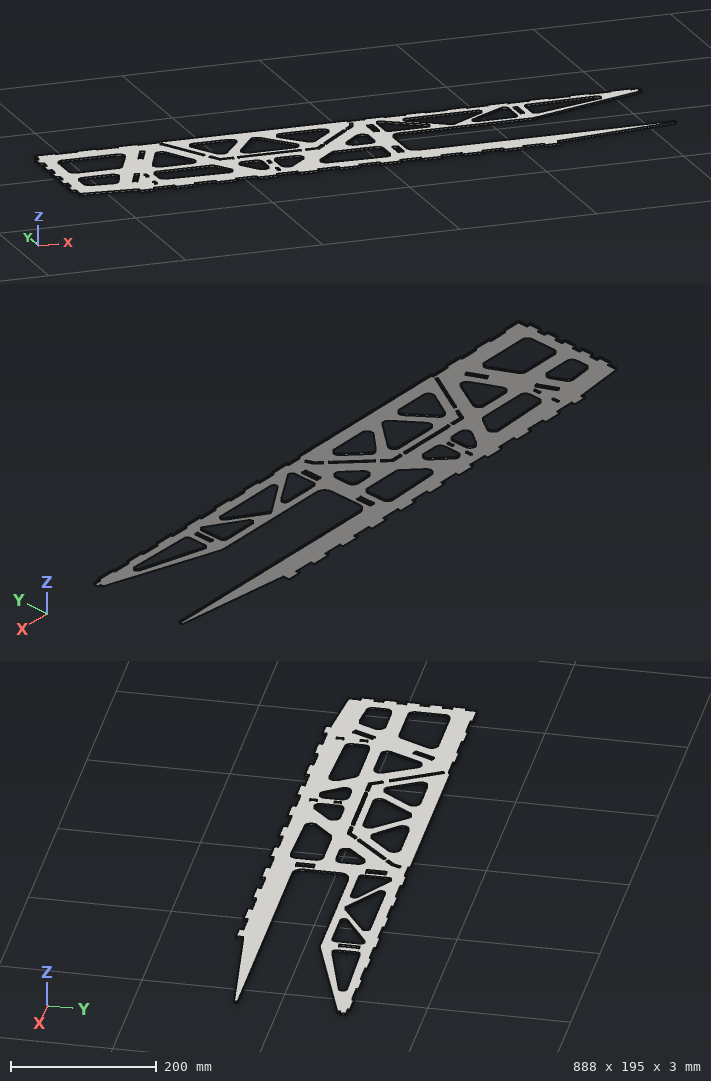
import cadquery as cq
import math

length = 888.0
width = 195.0
thickness = 3.0

tab_depth = 2 * thickness
notch_depth = thickness
first_notch_start = 36.0
tip_notch_start = 876.0
full_notch_indices = (0, 1, 2, 8, 9, 10, 11, 12, 13)
short_notch_index = 7
short_notch_start = 462.0
tip_notch_index = 14
finger_pitch = (tip_notch_start - first_notch_start) / tip_notch_index
finger_width = finger_pitch / 2
bottom_tab_start = 140.0
bottom_tab_count = 10
first_tab_start = 89.0
last_tab_end = 701.5
left_tab_width = 19.5
left_tab_pitch = 32.0
left_tab_first_center = 42.0
left_tab_count = 5

fork_left = 496.0
fork_bottom = 40.0
fork_top = 118.0
fork_radius = 14.0
prong_end = 884.0
upper_taper_start = 706.0
upper_taper_end = 179.0
tip_bottom = 184.0
lower_taper_start = 11.0
lower_taper_end = 35.0

left_corner_height = 15.0
slope_end_height = 7.0

window_radius = 9.0
small_window_radius = 5.0
window_left = 26.0
window_right = 466.0
upper_row_top = 171.0
middle_row_bottom = 91.0
lower_row_top = 72.0
truss_center = 592.0
truss_bottom = 131.0

main_windows = [
    [(window_left, 105.0), (99.5, 105.0), (127.0, 162.5), (window_left, 162.5)],
    [(window_left, 47.0), (71.0, 43.0), (89.0, 81.0), (window_left, 81.0)],
    [(138.5, middle_row_bottom), (211.0, middle_row_bottom), (171.0, 162.5)],
    [(214.0, upper_row_top), (250.0, 108.0), (297.0, upper_row_top)],
    [(270.0, 107.5), (372.0, 107.5), (316.0, 172.0)],
    [(336.0, upper_row_top), (384.5, 121.0), (435.0, upper_row_top)],
    [(414.0, middle_row_bottom), (window_right, middle_row_bottom), (window_right, 143.0)],
    [(132.0, 38.0), (247.0, 34.0), (221.0, lower_row_top), (132.0, lower_row_top)],
    [(249.0, lower_row_top), (290.0, 12.0), (290.0, lower_row_top)],
    [(308.0, 19.0), (362.0, lower_row_top), (308.0, lower_row_top)],
    [(353.0, 30.0), (window_right, 27.0), (window_right, lower_row_top), (396.0, lower_row_top)],
]


def mirror_truss(points):
    """Mirror points about the center of the upper prong's truss."""
    return [(2 * truss_center - x, y) for x, y in points]


truss_side_window = [(496.0, truss_bottom), (574.0, truss_bottom), (496.0, 181.0)]
prong_windows = [
    truss_side_window,
    mirror_truss(truss_side_window),
    [(523.0, 176.0), (truss_center, 130.0), (662.0, 176.0)],
    [(713.0, 137.0), (713.0, 177.0), (859.0, 180.0)],
]

upright = 90
slant = 65.6
slots = [
    (484.0, 152.0, 27.5, 8.0, upright),
    (484.0, 52.0, 25.0, 8.0, upright),
    (699.0, 158.0, 28.0, 5.0, upright),
    (145.0, 149.0, 31.0, 6.0, slant),
    (103.0, 57.0, 33.0, 6.0, slant),
]
pin_slot_length = 10.0
pin_slot_width = thickness
pin_slot_columns = (120.0, 299.0)
pin_slot_rows = (27.0, 60.0)

channel_width = 3.5
channel_floor = 93.0
channel_paths = [
    [(186.5, 186.0), (225.0, 118.0)],
    [(230.0, 109.0), (239.0, channel_floor), (258.0, channel_floor)],
    [(265.5, channel_floor), (357.0, channel_floor)],
    [(365.0, channel_floor), (383.0, channel_floor), (393.0, 105.0)],
    [(399.0, 110.0), (444.0, 155.0)],
    [(449.0, 161.0), (458.0, 170.0), (463.0, 181.0)],
]


def prism(points):
    """Extrude a closed polygon through the sheet thickness."""
    return cq.Workplane("XY").polyline(points).close().extrude(thickness)


def box(x_min, x_max, y_min, y_max):
    """Rectangle through the sheet thickness."""
    return prism([(x_min, y_min), (x_max, y_min), (x_max, y_max), (x_min, y_max)])


def rounded_window(points, radius):
    return prism(points).edges("|Z").fillet(radius)


def slot(x, y, slot_length, slot_width, angle):
    cutter = cq.Workplane("XY").rect(slot_length, slot_width).extrude(thickness)
    return cutter.rotate((0, 0, 0), (0, 0, 1), angle).translate((x, y, 0))


def channel(path):
    """Square-ended channel of constant width along straight segments."""
    cutter = cq.Workplane("XY")
    for (x0, y0), (x1, y1) in zip(path[:-1], path[1:]):
        run = math.hypot(x1 - x0, y1 - y0)
        angle = math.degrees(math.atan2(y1 - y0, x1 - x0))
        piece = slot((x0 + x1) / 2, (y0 + y1) / 2, run, channel_width, angle)
        cutter = cutter.add(piece)
    for x, y in path[1:-1]:
        joint = cq.Workplane("XY").center(x, y).circle(channel_width / 2).extrude(thickness)
        cutter = cutter.add(joint)
    return cutter.combine()


plate = prism([
    (tab_depth, left_corner_height),
    (first_tab_start, slope_end_height),
    (first_tab_start, tab_depth),
    (last_tab_end, tab_depth),
    (last_tab_end, lower_taper_start),
    (prong_end, lower_taper_end),
    (prong_end, fork_bottom),
    (fork_left, fork_bottom),
    (fork_left, fork_top),
    (upper_taper_start, fork_top),
    (prong_end, upper_taper_end),
    (prong_end, tip_bottom),
    (length, tip_bottom),
    (length, width - notch_depth),
    (tip_notch_start, width - notch_depth),
    (tip_notch_start, width),
    (tab_depth, width),
])
fork_corners = cq.selectors.BoxSelector(
    (fork_left - fork_radius, fork_bottom - fork_radius, -thickness),
    (fork_left + fork_radius, fork_top + fork_radius, 2 * thickness),
)
plate = plate.edges("|Z").edges(fork_corners).fillet(fork_radius)

for i in range(left_tab_count):
    center = left_tab_first_center + i * left_tab_pitch
    tab = box(0, tab_depth, center - left_tab_width / 2, center + left_tab_width / 2)
    plate = plate.union(tab)

tab_spans = [(first_tab_start, bottom_tab_start - finger_width)]
for i in range(bottom_tab_count):
    start = bottom_tab_start + i * finger_pitch
    end = min(start + finger_width, last_tab_end)
    tab_spans.append((start, end))
for start, end in tab_spans:
    plate = plate.union(box(start, end, 0, tab_depth))

short_notch_end = first_notch_start + short_notch_index * finger_pitch + finger_width
notch_spans = [(short_notch_start, short_notch_end)]
for i in full_notch_indices:
    start = first_notch_start + i * finger_pitch
    notch_spans.append((start, start + finger_width))
for start, end in notch_spans:
    plate = plate.cut(box(start, end, width - notch_depth, width))

for corners in main_windows:
    plate = plate.cut(rounded_window(corners, window_radius))
for corners in prong_windows:
    plate = plate.cut(rounded_window(corners, small_window_radius))

for placement in slots:
    plate = plate.cut(slot(*placement))
for x in pin_slot_columns:
    for y in pin_slot_rows:
        plate = plate.cut(slot(x, y, pin_slot_length, pin_slot_width, upright))

for path in channel_paths:
    plate = plate.cut(channel(path))

result = plate